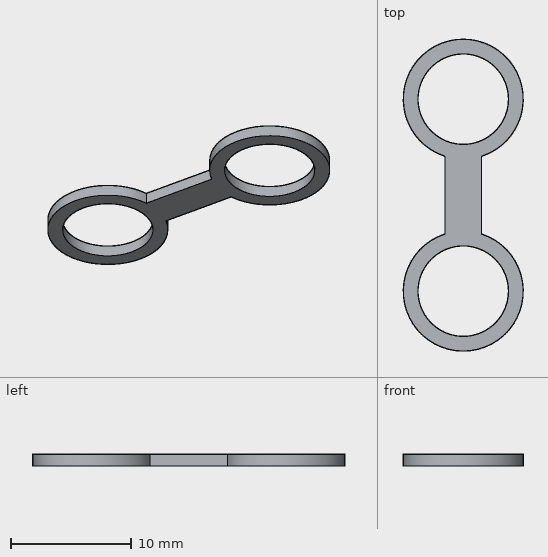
import cadquery as cq

total_length = 25.95
ring_diameter = 10.0
hole_diameter = 7.5
bar_width = 3.05
thickness = 1.0

ring_spacing = total_length - ring_diameter
ring_centers = [(0, -ring_spacing / 2), (0, ring_spacing / 2)]


def discs(diameter):
    """One disc of the plate thickness at each ring centre."""
    return cq.Workplane("XY").pushPoints(ring_centers).circle(diameter / 2).extrude(thickness)


bar = cq.Workplane("XY").rect(bar_width, ring_spacing).extrude(thickness)

result = bar.union(discs(ring_diameter)).cut(discs(hole_diameter))